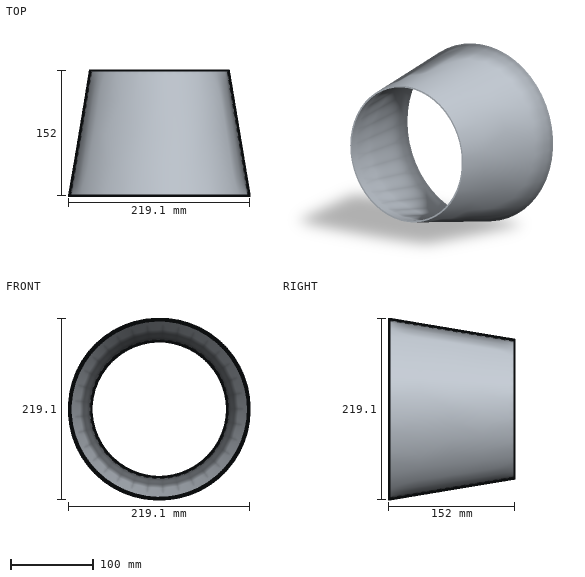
import cadquery as cq

large_outer_diameter = 219.1
small_outer_diameter = 168.3
wall_thickness = 2.0
length = 152.0


def cone_shell():
    """Revolve the sloping wall section about the Y axis."""
    large_outer_radius = large_outer_diameter / 2
    small_outer_radius = small_outer_diameter / 2
    wall_section = [
        (large_outer_radius - wall_thickness, 0),
        (large_outer_radius, 0),
        (small_outer_radius, length),
        (small_outer_radius - wall_thickness, length),
    ]
    return cq.Workplane("XY").polyline(wall_section).close().revolve(360, (0, 0), (0, 1))


result = cone_shell()